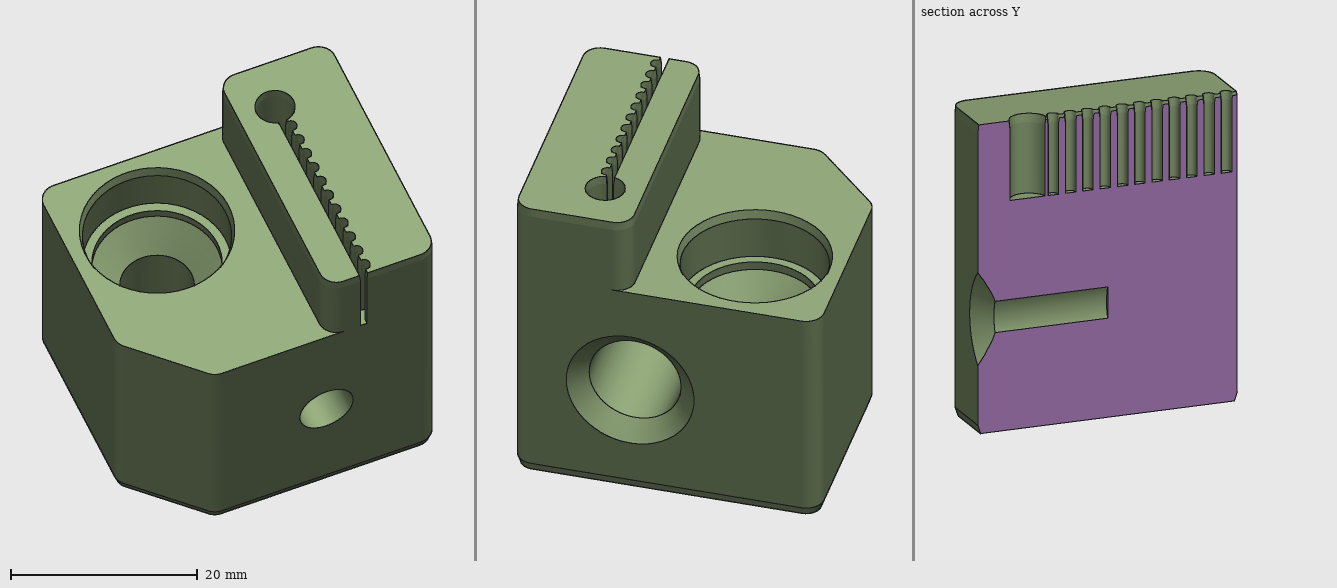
import cadquery as cq
import math

WIDTH = 30.0
DEPTH = 34.0
HEIGHT = 35.0
TOWER_DEPTH = 13.0
TOWER_HEIGHT = 9.0
STEP_Z = HEIGHT - TOWER_HEIGHT
TOWER_FRONT_Y = DEPTH - TOWER_DEPTH
CORNER_RADIUS = 2.0
CORNER_CUT = 8.0

BEVEL_HEIGHT = 1.0
BASE_BEVEL_WIDTH = 0.33
TOWER_BEVEL_WIDTH = 0.1

SCREW_X = 9.85
SCREW_Y = 9.85
COUNTERBORE_RADIUS = 8.0
COUNTERBORE_DEPTH = 6.0
RIM_BEVEL_WIDTH = 0.33
HEAD_RADIUS = 7.0
HEAD_DEPTH = 1.0
SCREW_RADIUS = 4.0

CROSS_Y = TOWER_FRONT_Y
CROSS_Z = STEP_Z / 2
CROSS_MOUTH_RADIUS = 7.1
CROSS_BORE_RADIUS = 5.1
CROSS_MOUTH_DEPTH = CROSS_MOUTH_RADIUS - CROSS_BORE_RADIUS
CROSS_BORE_DEPTH = WIDTH / 2
CROSS_HOLE_RADIUS = 3.1

SLOT_Y = 25.35
SLOT_WIDTH = 0.75
SLOT_DEPTH = TOWER_HEIGHT
SLOT_END_X = WIDTH + 1.0
SLOT_FLARE_ANGLE = math.degrees(math.atan2(TOWER_BEVEL_WIDTH, BEVEL_HEIGHT))
POCKET_X = 5.75
POCKET_RADIUS = 2.05
TOOTH_PITCH = 2.0
TOOTH_COUNT = 11
FIRST_TOOTH_X = 8.73
TOOTH_HEIGHT = 0.75
TOOTH_RADIUS = 0.555
ROOT_RADIUS = 0.15


def rounded_prism(outline, bottom_z, height):
    """Upright prism with rounded vertical edges."""
    prism = cq.Workplane("XY").workplane(offset=bottom_z).polyline(outline).close().extrude(height)
    return prism.edges("|Z").fillet(CORNER_RADIUS)


def make_body():
    outline = [
        (0, 0),
        (WIDTH - CORNER_CUT, 0),
        (WIDTH, CORNER_CUT),
        (WIDTH, DEPTH),
        (0, DEPTH),
    ]
    body = rounded_prism(outline, 0, STEP_Z)
    return body.faces("<Z").chamfer(BEVEL_HEIGHT, BASE_BEVEL_WIDTH)


def make_tower():
    outline = [
        (0, TOWER_FRONT_Y),
        (WIDTH, TOWER_FRONT_Y),
        (WIDTH, DEPTH),
        (0, DEPTH),
    ]
    tower = rounded_prism(outline, STEP_Z, TOWER_HEIGHT)
    return tower.faces(">Z").chamfer(BEVEL_HEIGHT, TOWER_BEVEL_WIDTH)


def make_screw_hole():
    """Revolved tool for the vertical hole, from the step down through the base."""
    floor_z = STEP_Z - COUNTERBORE_DEPTH
    cone_top_z = floor_z - HEAD_DEPTH
    cone_bottom_z = cone_top_z - (HEAD_RADIUS - SCREW_RADIUS)
    profile = [
        (0, 0),
        (SCREW_RADIUS, 0),
        (SCREW_RADIUS, cone_bottom_z),
        (HEAD_RADIUS, cone_top_z),
        (HEAD_RADIUS, floor_z),
        (COUNTERBORE_RADIUS, floor_z),
        (COUNTERBORE_RADIUS, STEP_Z - BEVEL_HEIGHT),
        (COUNTERBORE_RADIUS + RIM_BEVEL_WIDTH, STEP_Z),
        (0, STEP_Z),
    ]
    tool = cq.Workplane("XZ").polyline(profile).close().revolve(360, (0, 0), (0, 1))
    return tool.translate((SCREW_X, SCREW_Y, 0))


def make_cross_hole():
    """Revolved tool for the hole along X, with its wide mouth at X = 0."""
    profile = [
        (0, 0),
        (0, CROSS_MOUTH_RADIUS),
        (CROSS_MOUTH_DEPTH, CROSS_BORE_RADIUS),
        (CROSS_BORE_DEPTH, CROSS_BORE_RADIUS),
        (CROSS_BORE_DEPTH, CROSS_HOLE_RADIUS),
        (WIDTH, CROSS_HOLE_RADIUS),
        (WIDTH, 0),
    ]
    tool = cq.Workplane("XY").polyline(profile).close().revolve(360, (0, 0), (1, 0))
    return tool.translate((0, CROSS_Y, CROSS_Z))


def flared_cutter(outline):
    """Prism of the outline whose top BEVEL_HEIGHT widens to form the slot's lead-in."""
    prism = outline.extrude(SLOT_DEPTH - BEVEL_HEIGHT)
    rim = prism.faces(">Z").wires().toPending()
    return prism.union(rim.extrude(BEVEL_HEIGHT, combine=False, taper=-SLOT_FLARE_ANGLE))


def tooth_outline(plane, tooth_x):
    """Half-round tooth space, flaring through small arcs into the edge of the slot."""
    slot_edge_y = SLOT_Y + SLOT_WIDTH / 2
    tip_y = slot_edge_y + TOOTH_HEIGHT
    shoulder_y = tip_y - TOOTH_RADIUS
    root_y = slot_edge_y + ROOT_RADIUS
    left_x = tooth_x - TOOTH_RADIUS
    right_x = tooth_x + TOOTH_RADIUS
    outline = plane.moveTo(left_x - ROOT_RADIUS, SLOT_Y).lineTo(left_x - ROOT_RADIUS, slot_edge_y)
    outline = outline.radiusArc((left_x, root_y), -ROOT_RADIUS).lineTo(left_x, shoulder_y)
    outline = outline.threePointArc((tooth_x, tip_y), (right_x, shoulder_y)).lineTo(right_x, root_y)
    outline = outline.radiusArc((right_x + ROOT_RADIUS, slot_edge_y), -ROOT_RADIUS)
    return outline.lineTo(right_x + ROOT_RADIUS, SLOT_Y).close()


def make_belt_slot():
    """Tool for the round pocket, the flat slot open at +X and the row of tooth spaces."""
    plane = cq.Workplane("XY").workplane(offset=STEP_Z)
    tool = flared_cutter(plane.moveTo(POCKET_X, SLOT_Y).circle(POCKET_RADIUS))
    slot = plane.moveTo((POCKET_X + SLOT_END_X) / 2, SLOT_Y).rect(SLOT_END_X - POCKET_X, SLOT_WIDTH)
    tool = tool.union(flared_cutter(slot))
    for index in range(TOOTH_COUNT):
        tooth_x = FIRST_TOOTH_X + index * TOOTH_PITCH
        tool = tool.union(flared_cutter(tooth_outline(plane, tooth_x)))
    return tool


result = make_body().union(make_tower())
result = result.cut(make_screw_hole())
result = result.cut(make_cross_hole())
result = result.cut(make_belt_slot())